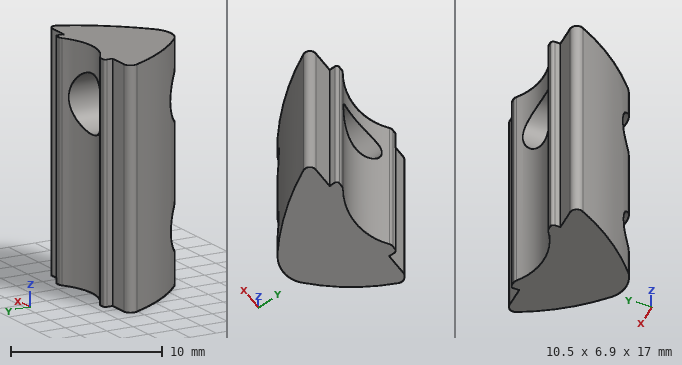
import cadquery as cq
import math

length = 17.0
width = 10.5
depth = 6.9

nose_radius = 2.0
flank_radius = 16.15
shoulder_radius = 0.5
rib_height = 0.63
rib_outer_x = 3.25
groove_radius = 4.25
groove_depth = 0.92
rib_outer_fillet = 0.2
rib_inner_fillet = 0.42

hole_end_distance = 4.0
through_diameter = 4.2
blind_diameter = 4.01
blind_wall_depth = 4.0
drill_point_angle = 118.0

shoulder_y = depth - rib_height
groove_bottom_y = depth - groove_depth
groove_half_width = math.sqrt(groove_radius**2 - (groove_radius - groove_depth)**2)


def point_on_circle(center, toward, radius):
    """Return the point at radius from center, in the direction of toward."""
    dx = toward[0] - center[0]
    dy = toward[1] - center[1]
    distance = math.hypot(dx, dy)
    return center[0] + dx / distance * radius, center[1] + dy / distance * radius


def flank_circle_center(nose_center, shoulder_center):
    """Center of the right flank arc, which encloses and touches the nose and shoulder circles."""
    to_nose = flank_radius - nose_radius
    to_shoulder = flank_radius - shoulder_radius
    dx = shoulder_center[0] - nose_center[0]
    dy = shoulder_center[1] - nose_center[1]
    spacing = math.hypot(dx, dy)
    along = (to_nose**2 - to_shoulder**2 + spacing**2) / (2 * spacing)
    across = math.sqrt(to_nose**2 - along**2)
    return (
        nose_center[0] + (along * dx - across * dy) / spacing,
        nose_center[1] + (along * dy + across * dx) / spacing,
    )


def mirrored(point):
    return -point[0], point[1]


def make_body():
    nose_center = (0, nose_radius)
    shoulder_center = (width / 2 - shoulder_radius, shoulder_y - shoulder_radius)
    flank_center = flank_circle_center(nose_center, shoulder_center)

    flank_start = point_on_circle(flank_center, nose_center, flank_radius)
    flank_end = point_on_circle(flank_center, shoulder_center, flank_radius)
    flank_chord_middle = ((flank_start[0] + flank_end[0]) / 2, (flank_start[1] + flank_end[1]) / 2)
    flank_middle = point_on_circle(flank_center, flank_chord_middle, flank_radius)
    shoulder_middle = (width / 2, shoulder_center[1])
    shoulder_end = (shoulder_center[0], shoulder_y)
    rib_root = (rib_outer_x, shoulder_y)
    rib_corner = (rib_outer_x, depth)
    groove_edge = (groove_half_width, depth)

    body = (
        cq.Workplane("XY")
        .moveTo(*flank_start)
        .threePointArc(flank_middle, flank_end)
        .threePointArc(shoulder_middle, shoulder_end)
        .lineTo(*rib_root)
        .lineTo(*rib_corner)
        .lineTo(*groove_edge)
        .threePointArc((0, groove_bottom_y), mirrored(groove_edge))
        .lineTo(*mirrored(rib_corner))
        .lineTo(*mirrored(rib_root))
        .lineTo(*mirrored(shoulder_end))
        .threePointArc(mirrored(shoulder_middle), mirrored(flank_end))
        .threePointArc(mirrored(flank_middle), mirrored(flank_start))
        .threePointArc((0, 0), flank_start)
        .close()
        .extrude(length)
    )
    body = round_rib_edges(body, rib_outer_x, rib_outer_fillet)
    return round_rib_edges(body, groove_half_width, rib_inner_fillet)


def round_rib_edges(body, edge_x, radius):
    """Round the pair of long edges on the rib tops at +/- edge_x."""
    for x in (-edge_x, edge_x):
        edge = cq.selectors.NearestToPointSelector((x, depth, length / 2))
        body = body.edges("|Z").edges(edge).fillet(radius)
    return body


def make_through_hole():
    center = cq.Vector(0, 0, length - hole_end_distance)
    return cq.Solid.makeCylinder(through_diameter / 2, depth, center, cq.Vector(0, 1, 0))


def make_blind_hole():
    """Drilled hole from the nose with a conical bottom."""
    radius = blind_diameter / 2
    point_height = radius / math.tan(math.radians(drill_point_angle / 2))
    return (
        cq.Workplane("XY")
        .polyline([(0, 0), (radius, 0), (radius, blind_wall_depth), (0, blind_wall_depth + point_height)])
        .close()
        .revolve(360, (0, 0), (0, 1))
        .translate((0, 0, hole_end_distance))
    )


result = make_body().cut(make_through_hole()).cut(make_blind_hole())